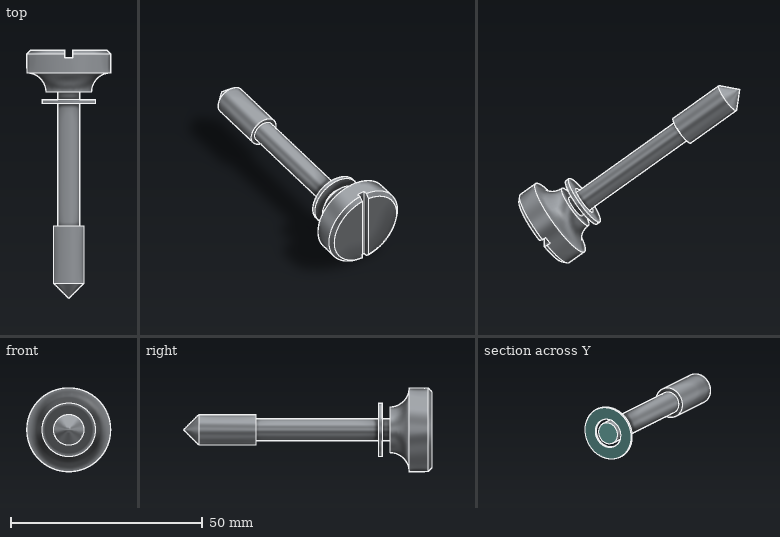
import cadquery as cq


head_radius = 11.0
rim_length = 6.0
rim_chamfer = 1.0
flare_radius = 5.0
neck_radius = head_radius - flare_radius
head_length = rim_length + flare_radius

slot_width = 2.0
slot_depth = 2.0

shank_radius = 2.9
shank_end = 46.0
end_radius = 4.0
end_length = 15.0
tip_length = end_radius
cone_start = shank_end + end_length
screw_length = cone_start + tip_length

washer_radius = 7.0
washer_hole_radius = 3.75
washer_thickness = 1.0
washer_gap = 2.0
washer_start = head_length + washer_gap


def make_screw():
    """Turned screw with a concave flare under the head and a slot across its face."""
    flare_mid_offset = flare_radius * 0.5 ** 0.5
    flare_midpoint = (head_radius - flare_mid_offset, -(head_length - flare_mid_offset))
    profile = (
        cq.Workplane("XY")
        .moveTo(0, 0)
        .lineTo(head_radius - rim_chamfer, 0)
        .lineTo(head_radius, -rim_chamfer)
        .lineTo(head_radius, -rim_length)
        .threePointArc(flare_midpoint, (neck_radius, -head_length))
        .lineTo(shank_radius, -head_length)
        .lineTo(shank_radius, -shank_end)
        .lineTo(end_radius, -shank_end)
        .lineTo(end_radius, -cone_start)
        .lineTo(0, -screw_length)
        .close()
    )
    body = profile.revolve(360, (0, 0, 0), (0, 1, 0))
    slot = cq.Workplane("XY").box(slot_width, 2 * slot_depth, 2 * head_radius)
    return body.cut(slot)


def make_washer():
    """Flat ring around the shank, just below the head."""
    return (
        cq.Workplane("XZ", origin=(0, -washer_start, 0))
        .circle(washer_radius)
        .circle(washer_hole_radius)
        .extrude(washer_thickness)
    )


screw = make_screw()
washer = make_washer()

result = cq.Compound.makeCompound([screw.val(), washer.val()])